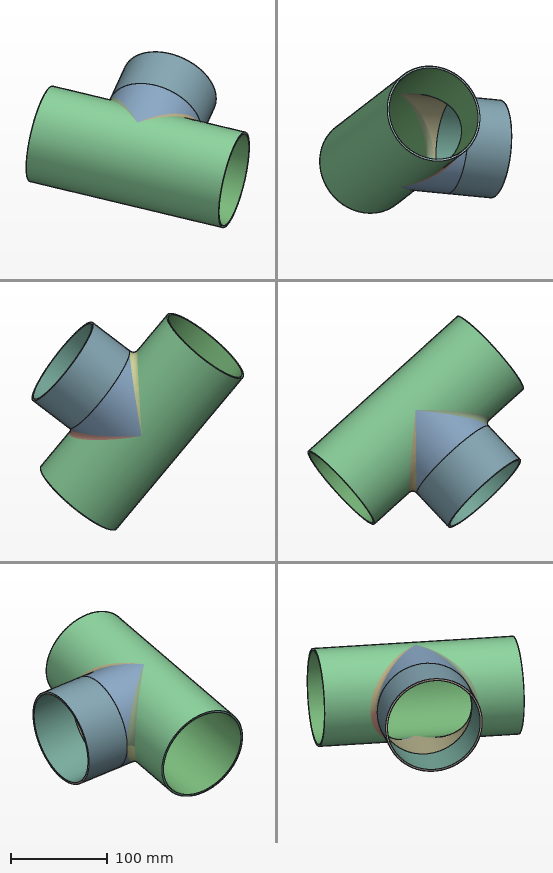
import cadquery as cq

run_length = 209.5
outer_diameter = 101.7
inner_diameter = 97.5
outer_radius = outer_diameter / 2
inner_radius = inner_diameter / 2

branch_end = run_length / 2
seam = 56.8

crossing_fillet = 5.7


def run_cylinder(radius):
    """Solid cylinder along X, centred on the origin."""
    return cq.Workplane("YZ").circle(radius).extrude(run_length / 2, both=True)


def branch_cylinder(radius, start, end):
    """Solid cylinder along +Y between two distances from the run axis."""
    return cq.Workplane("XZ", origin=(0, start, 0)).circle(radius).extrude(start - end)


def rounded_tee(radius):
    """Solid tee of two equal crossing cylinders, rounded along their elliptical crossing edges."""
    tee = run_cylinder(radius).union(branch_cylinder(radius, 0, seam))
    crossing_edges = tee.edges("%ELLIPSE")
    return crossing_edges.fillet(crossing_fillet)


def make_tee_fitting():
    """Run pipe with a short, open outlet for the branch pipe."""
    return rounded_tee(outer_radius).cut(rounded_tee(inner_radius))


def make_branch_pipe():
    """Plain pipe that butts against the outlet of the tee fitting."""
    pipe = branch_cylinder(outer_radius, seam, branch_end)
    return pipe.cut(branch_cylinder(inner_radius, seam, branch_end))


tee_fitting = make_tee_fitting()
branch_pipe = make_branch_pipe()
result = cq.Compound.makeCompound([tee_fitting.val(), branch_pipe.val()])